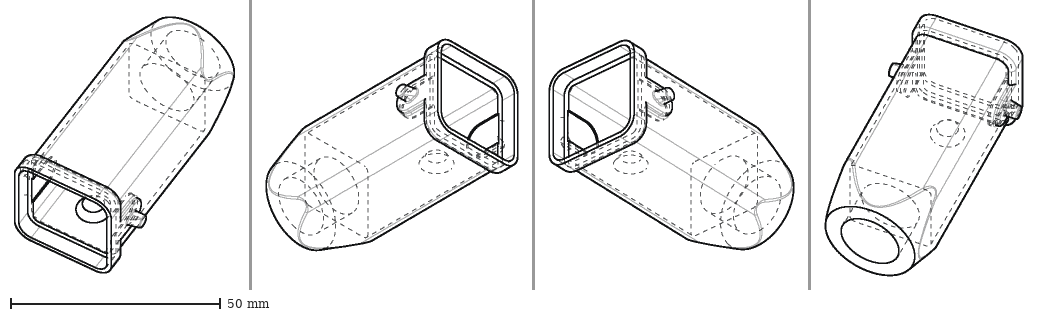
import cadquery as cq
import math

length = 60.0
edge_slack = 0.03

flat_width = 17.9
body_width = 24.2
body_corner = (body_width - flat_width) / 2
flange_width = 27.0
flange_corner = (flange_width - flat_width) / 2
flange_length = 5.35
flange_round = 1.3

nose_end_radius = 11.7
nose_slope = 0.32
nose_length = 18.0
nose_edge_round = 0.9

mouth_width = 24.55
mouth_depth = 4.0
mouth_corner = flange_corner - (flange_width - mouth_width) / 2
cavity_width = 21.55
cavity_end_width = 21.2
cavity_corner = 1.7
cavity_end = 48.0
cable_hole_diameter = 15.1

tab_radius = 3.85
tab_centre_y = 10.3
tab_head_round = 0.4
tab_foot_round = 0.4
recess_radius = 4.3
recess_depth = 0.35

pin_span = 33.4
pin_radius = 1.6
pin_y = 9.5
pin_tip_stretch = 0.05
pin_root_stretch = 1.0
pin_flank_angle = 20.0
pin_tip_round = 0.25
pin_foot_round = 0.3

bump_y = 14.1
bump_base_radius = 4.2
bump_top_radius = 2.65
bump_height = 2.15


def square_bar(width, corner, start, end):
    """Square bar along Y with rounded corners."""
    bar = cq.Workplane("XZ", origin=(0, start, 0)).rect(width, width).extrude(start - end)
    return bar.edges("|Y").fillet(corner)


def tongue(radius, start_x, end_x, start_y):
    """Round-ended plate on the +X side, reaching from start_y to the tab centre."""
    return (
        cq.Workplane("YZ", origin=(start_x, 0, 0))
        .moveTo(start_y, -radius)
        .lineTo(tab_centre_y, -radius)
        .threePointArc((tab_centre_y + radius, 0), (tab_centre_y, radius))
        .lineTo(start_y, radius)
        .close()
        .extrude(end_x - start_x)
    )


def both_sides(feature):
    """The feature together with its mirror image on the -X side."""
    return feature.union(feature.mirror("YZ"))


def nosed_body():
    """Square body whose cable end is trimmed by a cone, with the trimmed edges softened."""
    body = square_bar(body_width, body_corner, 0, length)
    cone_start_radius = nose_end_radius + nose_slope * nose_length
    cone = (
        cq.Workplane("XY")
        .moveTo(0, 0)
        .lineTo(cone_start_radius, 0)
        .lineTo(cone_start_radius, length - nose_length)
        .lineTo(nose_end_radius, length)
        .lineTo(0, length)
        .close()
        .revolve(360, (0, 0, 0), (0, 1, 0))
    )
    body = body.intersect(cone)
    return body.faces("%CONE").edges("not %CIRCLE").fillet(nose_edge_round)


def flange():
    """Wider collar around the mouth."""
    bar = square_bar(flange_width, flange_corner, 0, flange_length)
    return bar.faces(">Y").edges().fillet(flange_round)


def tab():
    """Tab from inside the wall out to the flange face, with a rounded outer rim."""
    plate = tongue(tab_radius, cavity_width / 2 + recess_depth, flange_width / 2, 0)
    rim = plate.faces(">X").edges("not <Y")
    return rim.fillet(tab_head_round)


def edges_on_side_planes(solid, offset, radius):
    """Edges in the planes X = +offset and X = -offset, no farther than radius from Z = 0."""
    reach = radius + edge_slack

    def box(x):
        return cq.selectors.BoxSelector(
            (x - edge_slack, -edge_slack, -reach), (x + edge_slack, length / 2, reach), boundingbox=True
        )

    return solid.edges(box(offset) + box(-offset))


def pin():
    """Locking pin on the +X side."""
    root_x = flange_width / 2
    tip_x = pin_span / 2

    lean = math.radians(pin_flank_angle)

    def outline(plane, stretch):
        """Circle joined by two tangent flanks to a smaller nose on the mouth side."""
        shrink = stretch * math.sin(lean) / (1 - math.sin(lean))
        nose_radius = pin_radius - shrink
        nose_y = pin_y - stretch - shrink

        def point(centre_y, radius, side):
            return (centre_y - radius * math.sin(lean), side * radius * math.cos(lean))

        return (
            plane.moveTo(*point(pin_y, pin_radius, -1))
            .threePointArc((pin_y + pin_radius, 0), point(pin_y, pin_radius, 1))
            .lineTo(*point(nose_y, nose_radius, 1))
            .threePointArc((nose_y - nose_radius, 0), point(nose_y, nose_radius, -1))
            .close()
        )

    root = outline(cq.Workplane("YZ", origin=(root_x, 0, 0)), pin_root_stretch)
    solid = outline(root.workplane(offset=tip_x - root_x), pin_tip_stretch).loft(ruled=True)
    return solid.faces(">X").edges().fillet(pin_tip_round)


def cavity():
    """Rounded square pocket that narrows slightly towards the cable end."""
    depth = cavity_end - mouth_depth
    draft = math.degrees(math.atan2((cavity_width - cavity_end_width) / 2, depth))
    outline = cq.Sketch().rect(cavity_width, cavity_width).vertices().fillet(cavity_corner)
    return cq.Workplane("XZ", origin=(0, mouth_depth, 0)).placeSketch(outline).extrude(-depth, taper=draft)


def bump():
    """Truncated cone standing on the cavity floor."""
    floor_z = -cavity_width / 2
    return (
        cq.Workplane("XY", origin=(0, bump_y, floor_z))
        .circle(bump_base_radius)
        .workplane(offset=bump_height)
        .circle(bump_top_radius)
        .loft()
    )


shell = nosed_body().union(both_sides(tab()))
shell = edges_on_side_planes(shell, body_width / 2, tab_radius).fillet(tab_foot_round)
shell = shell.union(flange()).union(both_sides(pin()))
shell = edges_on_side_planes(shell, flange_width / 2, pin_radius).fillet(pin_foot_round)

shell = shell.cut(square_bar(mouth_width, mouth_corner, 0, mouth_depth))
shell = shell.cut(cavity())
recess = tongue(recess_radius, 0, cavity_width / 2 + recess_depth, mouth_depth)
shell = shell.cut(both_sides(recess))
cable_hole = cq.Workplane("XZ").circle(cable_hole_diameter / 2).extrude(-length)
result = shell.cut(cable_hole).union(bump())